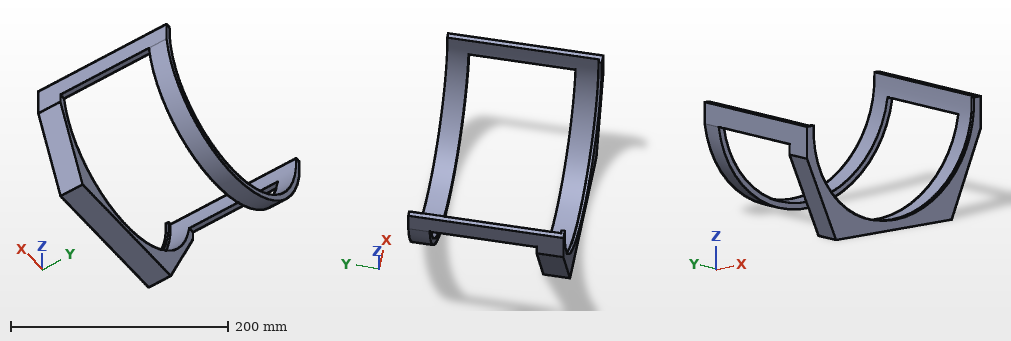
import cadquery as cq
import math

height = 111.4
length = 145.0
half_width = 105.295

axis_z = -5.0
bore_radius = 100.3
lip_depth = 3.2
lip_length = 3.2
lip_radius = bore_radius - lip_depth

plate_length = 25.0
plate_side_height = 30.0
base_half_width = 70.0

hoop_length = 20.0
hoop_radius = height + axis_z
rail_height = math.sqrt(hoop_radius**2 - half_width**2) - axis_z


def cylinder_along_y(radius, start_y, extent):
    """Solid cylinder on the bore axis, from start_y toward +Y."""
    return cq.Workplane("XZ", origin=(0, start_y, axis_z)).circle(radius).extrude(-extent)


def box_below_top(width, start_y, extent, depth):
    """Box centred on X with its top face at Z = 0."""
    floor = cq.Workplane("XY", origin=(0, start_y, -depth))
    return floor.box(width, extent, depth, centered=(True, False, False))


def front_plate():
    """Plate with upright sides that taper in to a flat foot."""
    outline = [
        (-half_width, 0),
        (-half_width, -plate_side_height),
        (-base_half_width, -height),
        (base_half_width, -height),
        (half_width, -plate_side_height),
        (half_width, 0),
    ]
    return cq.Workplane("XZ").polyline(outline).close().extrude(-plate_length)


def rear_hoop():
    """Round band at the rear, trimmed to the overall envelope."""
    start_y = length - hoop_length
    band = cylinder_along_y(hoop_radius, start_y, hoop_length)
    return band.intersect(box_below_top(2 * half_width, start_y, hoop_length, height))


def rails():
    """Full-length block whose middle the bore removes, leaving two rails."""
    return box_below_top(2 * half_width, 0, length, rail_height)


lip_bore = cylinder_along_y(lip_radius, 0, lip_length)
main_bore = cylinder_along_y(bore_radius, lip_length, length - lip_length)

result = front_plate().union(rails()).union(rear_hoop()).cut(lip_bore).cut(main_bore)